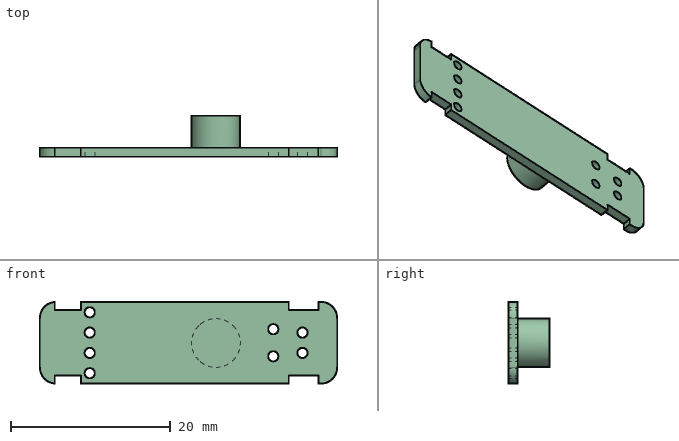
import cadquery as cq

PLATE_LENGTH = 37.2
PLATE_HEIGHT = 10.25
PLATE_THICKNESS = 1.15
CORNER_RADIUS = 2.05

NOTCH_DEPTH = 1.0
LEFT_NOTCH_WIDTH = 3.25
LEFT_NOTCH_END_GAP = 1.9
RIGHT_NOTCH_WIDTH = 3.7
RIGHT_NOTCH_END_GAP = 2.35

HOLE_DIAMETER = 1.25
PIN_PITCH = 2.54
LEFT_COLUMN_X = -12.35
LEFT_COLUMN_COUNT = 4
RIGHT_COLUMN_X = 14.25
RIGHT_COLUMN_COUNT = 2
INNER_COLUMN_X = 10.6
INNER_COLUMN_COUNT = 2
INNER_COLUMN_PITCH = 3.38

BOSS_DIAMETER = 6.1
BOSS_X = 3.4
TOTAL_DEPTH = 5.15
BOSS_LENGTH = TOTAL_DEPTH - PLATE_THICKNESS


def make_plate():
    """Rectangular plate with its four corners rounded."""
    plate = cq.Workplane("XY").box(
        PLATE_LENGTH, PLATE_THICKNESS, PLATE_HEIGHT, centered=(True, False, True)
    )
    return plate.edges("|Y").fillet(CORNER_RADIUS)


def make_notch_pair(start_x, width):
    """Two blocks that cut matching notches into the upper and lower edges."""
    def block(bottom_z):
        return cq.Workplane("XY").box(
            width, PLATE_THICKNESS, NOTCH_DEPTH, centered=False
        ).translate((start_x, 0, bottom_z))

    upper = block(PLATE_HEIGHT / 2 - NOTCH_DEPTH)
    lower = block(-PLATE_HEIGHT / 2)
    return upper.union(lower)


def make_cylinder(diameter, length, x, z, start_y):
    """Cylinder running along +Y from start_y."""
    axis_start = cq.Vector(x, start_y, z)
    return cq.Solid.makeCylinder(diameter / 2, length, axis_start, cq.Vector(0, 1, 0))


def drill_column(body, x, count, pitch):
    """Drill an evenly spaced column of holes through the plate."""
    first_z = -pitch * (count - 1) / 2
    for index in range(count):
        z = first_z + index * pitch
        body = body.cut(make_cylinder(HOLE_DIAMETER, PLATE_THICKNESS, x, z, 0))
    return body


left_notch_start = -PLATE_LENGTH / 2 + LEFT_NOTCH_END_GAP
right_notch_start = PLATE_LENGTH / 2 - RIGHT_NOTCH_END_GAP - RIGHT_NOTCH_WIDTH

body = make_plate()
body = body.cut(make_notch_pair(left_notch_start, LEFT_NOTCH_WIDTH))
body = body.cut(make_notch_pair(right_notch_start, RIGHT_NOTCH_WIDTH))
body = drill_column(body, LEFT_COLUMN_X, LEFT_COLUMN_COUNT, PIN_PITCH)
body = drill_column(body, RIGHT_COLUMN_X, RIGHT_COLUMN_COUNT, PIN_PITCH)
body = drill_column(body, INNER_COLUMN_X, INNER_COLUMN_COUNT, INNER_COLUMN_PITCH)

boss = make_cylinder(BOSS_DIAMETER, BOSS_LENGTH, BOSS_X, 0, PLATE_THICKNESS)
result = body.union(boss)